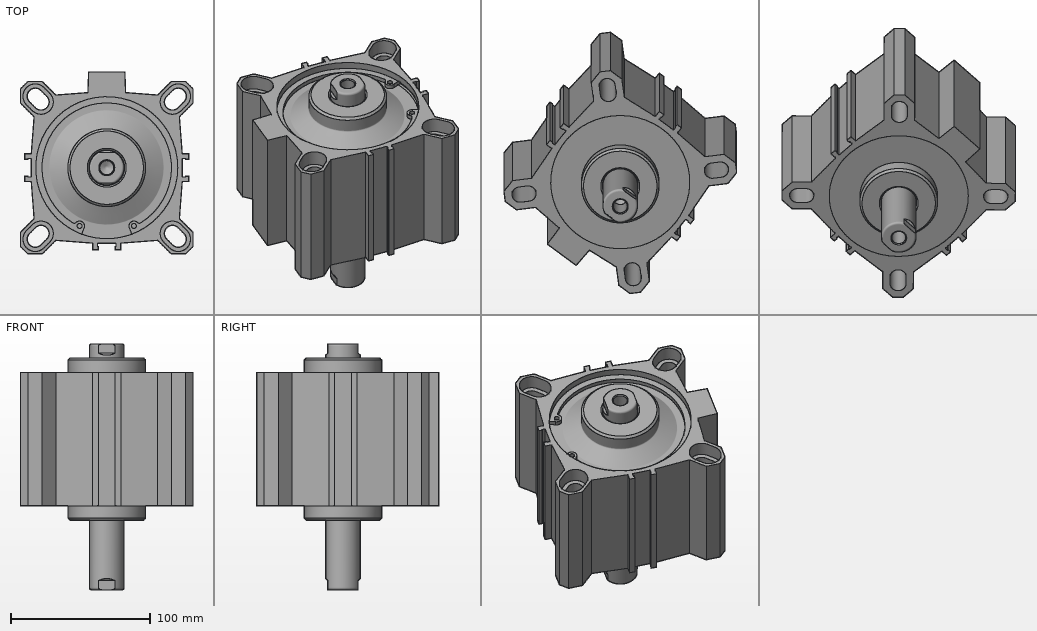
import cadquery as cq
import math

HOUSING_HEIGHT = 96.0
HOUSING_WIDTH = 124.0
HOUSING_LENGTH = 131.0
ROD_TOP = 116.5
ROD_LENGTH = 177.0
ROD_BOTTOM = ROD_TOP - ROD_LENGTH

EAR_REACH = HOUSING_WIDTH / 2
EAR_FLAT_START = 46.4
EAR_FLAT_END = 56.6
EAR_NECK = 36.6
NECK_WALL = EAR_REACH - (EAR_FLAT_START - EAR_NECK)
WALL_REACH = 54.3

ROOT_OVERLAP = 1.8

RAIL_REACH = 59.1
RAIL_OUTER = 10.1
RAIL_GROOVE = 6.5
RAIL_LIP = 6.0
RAIL_LIP_THICKNESS = 2.5
RAIL_WALL_ANGLES = [0, 180, 270]

BLOCK_REACH = HOUSING_LENGTH - EAR_REACH
BLOCK_ROOT_HALF_WIDTH = 13.6
BLOCK_TIP_HALF_WIDTH = 13.1

SLOT_CENTRE = 69.7
SLOT_TRAVEL = 5.8
SLOT_WIDTH = 11.5
COUNTERBORE_WIDTH = 17.7
COUNTERBORE_DEPTH = 11.3

BORE_DIAMETER = 100.0
SEAT_DIAMETER = 102.1
GROOVE_DIAMETER = 106.2
RING_DEPTH = 5.3
RING_THICKNESS = 3.2
COVER_FACE = HOUSING_HEIGHT - RING_DEPTH - RING_THICKNESS
COVER_PLATE_THICKNESS = 14.2
SEAT_FLOOR = COVER_FACE - COVER_PLATE_THICKNESS

RING_INNER_DIAMETER = 93.1
LUG_ANGLE = 25.0
LUG_CENTRE_RADIUS = 46.2
LUG_RADIUS = 3.5
LUG_HOLE_DIAMETER = 3.5
LUG_FILLET = 1.8

BOSS_DIAMETER = 56.0
BOSS_PROTRUSION = 10.5
BOSS_CHAMFER = 1.6
DOME_DIAMETER = 82.1
DOME_TOP = HOUSING_HEIGHT - 1.5
DOME_FILLET = 0.7
WIPER_DIAMETER = 25.7
WIPER_MOUTH_DIAMETER = 28.0
WIPER_THROAT_DIAMETER = 26.9
WIPER_DEPTH = 2.7

ROD_DIAMETER = 25.0
ROD_END_FILLET = 1.6
FLAT_HALF_WIDTH = 11.0
FLAT_LENGTH = 6.7
END_HOLE_DIAMETER = 10.1
END_HOLE_MOUTH_DIAMETER = 11.5
END_HOLE_DEPTH = 21.2
DRILL_POINT_ANGLE = 118.0


def cylinder(diameter, bottom, top):
    """Upright cylinder on the rod axis."""
    return cq.Workplane("XY").workplane(offset=bottom).circle(diameter / 2).extrude(top - bottom)


def revolved(points):
    """Solid of revolution about the rod axis from (radius, height) points."""
    return cq.Workplane("XZ").polyline(points).close().revolve(360, (0, 0), (0, 1))


def prism(points):
    """Upright prism over the full housing height."""
    return cq.Workplane("XY").polyline(points).close().extrude(HOUSING_HEIGHT)


def housing_profile():
    """Outline of the walls and ears: one quarter, repeated by quarter turns."""
    quarter = [
        (WALL_REACH, -RAIL_OUTER),
        (WALL_REACH, RAIL_OUTER),
        (NECK_WALL, EAR_NECK),
        (EAR_REACH, EAR_FLAT_START),
        (EAR_REACH, EAR_FLAT_END),
        (EAR_FLAT_END, EAR_REACH),
        (EAR_FLAT_START, EAR_REACH),
        (EAR_NECK, NECK_WALL),
    ]
    outline = list(quarter)
    for _ in range(3):
        quarter = [(-y, x) for x, y in quarter]
        outline += quarter
    return outline


def rail_pair():
    """Two facing rails on the +X wall, each with a lip at its tip."""
    rail_root = WALL_REACH - ROOT_OVERLAP
    lip_start = RAIL_REACH - RAIL_LIP_THICKNESS
    rail = prism([
        (rail_root, RAIL_OUTER),
        (RAIL_REACH, RAIL_OUTER),
        (RAIL_REACH, RAIL_LIP),
        (lip_start, RAIL_LIP),
        (lip_start, RAIL_GROOVE),
        (rail_root, RAIL_GROOVE),
    ])
    return rail.union(rail.mirror("XZ"))


def ear_slot(width, bottom):
    """Slots in the four ears, lying along the diagonals, open at the top face."""
    return (
        cq.Workplane("XY")
        .workplane(offset=bottom)
        .polarArray(SLOT_CENTRE, 45, 360, 4)
        .slot2D(SLOT_TRAVEL + width, width)
        .extrude(HOUSING_HEIGHT - bottom)
    )


def make_housing():
    body = prism(housing_profile())
    for angle in RAIL_WALL_ANGLES:
        body = body.union(rail_pair().rotate((0, 0, 0), (0, 0, 1), angle))
    body = body.union(prism([
        (-BLOCK_ROOT_HALF_WIDTH, WALL_REACH - ROOT_OVERLAP),
        (BLOCK_ROOT_HALF_WIDTH, WALL_REACH - ROOT_OVERLAP),
        (BLOCK_ROOT_HALF_WIDTH, WALL_REACH),
        (BLOCK_TIP_HALF_WIDTH, BLOCK_REACH),
        (-BLOCK_TIP_HALF_WIDTH, BLOCK_REACH),
        (-BLOCK_ROOT_HALF_WIDTH, WALL_REACH),
    ]))
    body = body.cut(ear_slot(SLOT_WIDTH, 0))
    body = body.cut(ear_slot(COUNTERBORE_WIDTH, HOUSING_HEIGHT - COUNTERBORE_DEPTH))
    body = body.cut(cylinder(BORE_DIAMETER, 0, HOUSING_HEIGHT))
    body = body.cut(cylinder(SEAT_DIAMETER, SEAT_FLOOR, HOUSING_HEIGHT))
    return body.cut(cylinder(GROOVE_DIAMETER, COVER_FACE, HOUSING_HEIGHT - RING_DEPTH))


def rod_passage(face, outward):
    """Close-fitting rod hole with a wider, countersunk recess at the boss face."""
    chamfer = (WIPER_MOUTH_DIAMETER - WIPER_THROAT_DIAMETER) / 2
    return revolved([
        (0, face),
        (WIPER_MOUTH_DIAMETER / 2, face),
        (WIPER_THROAT_DIAMETER / 2, face - outward * chamfer),
        (WIPER_DIAMETER / 2, face - outward * 2 * chamfer),
        (WIPER_DIAMETER / 2, face - outward * WIPER_DEPTH),
        (ROD_DIAMETER / 2, face - outward * WIPER_DEPTH),
        (ROD_DIAMETER / 2, face - outward * HOUSING_HEIGHT / 2),
        (0, face - outward * HOUSING_HEIGHT / 2),
    ])


def make_top_cover():
    """Dished cover with a conical rise up to its boss."""
    boss_top = HOUSING_HEIGHT + BOSS_PROTRUSION
    boss_radius = BOSS_DIAMETER / 2
    cover = revolved([
        (0, SEAT_FLOOR),
        (SEAT_DIAMETER / 2, SEAT_FLOOR),
        (SEAT_DIAMETER / 2, COVER_FACE),
        (DOME_DIAMETER / 2, COVER_FACE),
        (boss_radius, DOME_TOP),
        (boss_radius, boss_top - BOSS_CHAMFER),
        (boss_radius - BOSS_CHAMFER, boss_top),
        (0, boss_top),
    ])
    reach = (DOME_DIAMETER + SEAT_DIAMETER) / 4
    dome_rims = cq.selectors.BoxSelector(
        (-reach, -reach, COVER_FACE - DOME_FILLET),
        (reach, reach, DOME_TOP + DOME_FILLET),
        boundingbox=True,
    )
    cover = cover.edges(dome_rims).edges("%CIRCLE").fillet(DOME_FILLET)
    return cover.cut(rod_passage(boss_top, 1))


def make_bottom_cover():
    """Flat cover, flush with the bottom of the housing, with the same boss."""
    boss_radius = BOSS_DIAMETER / 2
    cover = revolved([
        (0, COVER_PLATE_THICKNESS),
        (BORE_DIAMETER / 2, COVER_PLATE_THICKNESS),
        (BORE_DIAMETER / 2, 0),
        (boss_radius, 0),
        (boss_radius, BOSS_CHAMFER - BOSS_PROTRUSION),
        (boss_radius - BOSS_CHAMFER, -BOSS_PROTRUSION),
        (0, -BOSS_PROTRUSION),
    ])
    return cover.cut(rod_passage(-BOSS_PROTRUSION, -1))


def make_retaining_ring():
    """Open ring with an eyelet at each side of the gap, which faces -Y."""
    lug_angle = math.radians(LUG_ANGLE)
    lug_x = LUG_CENTRE_RADIUS * math.sin(lug_angle)
    lug_y = -LUG_CENTRE_RADIUS * math.cos(lug_angle)
    gap_angle = lug_angle - math.asin(LUG_RADIUS / LUG_CENTRE_RADIUS)
    gap_x = GROOVE_DIAMETER * math.tan(gap_angle)
    inner_radius = RING_INNER_DIAMETER / 2
    lugs = [(lug_x, lug_y), (-lug_x, lug_y)]

    base = cq.Workplane("XY").workplane(offset=COVER_FACE)
    band = base.circle(GROOVE_DIAMETER / 2).circle(inner_radius).extrude(RING_THICKNESS)
    gap = (
        base.polyline([(0, 0), (gap_x, -GROOVE_DIAMETER), (-gap_x, -GROOVE_DIAMETER)])
        .close()
        .extrude(RING_THICKNESS)
    )
    eyelets = base.pushPoints(lugs).circle(LUG_RADIUS).extrude(RING_THICKNESS)
    holes = base.pushPoints(lugs).circle(LUG_HOLE_DIAMETER / 2).extrude(RING_THICKNESS)
    ring = band.cut(gap).union(eyelets)

    spread = math.acos(
        (inner_radius**2 + LUG_CENTRE_RADIUS**2 - LUG_RADIUS**2) / (2 * inner_radius * LUG_CENTRE_RADIUS)
    )
    corner_x = inner_radius * math.sin(lug_angle + spread)
    corner_y = -inner_radius * math.cos(lug_angle + spread)
    corner_z = COVER_FACE + RING_THICKNESS / 2
    for x in [corner_x, -corner_x]:
        corner = cq.selectors.NearestToPointSelector((x, corner_y, corner_z))
        ring = ring.edges("|Z").edges(corner).fillet(LUG_FILLET)
    return ring.cut(holes)


def flat_cutter(end, outward):
    """Wrench flat on the +Y side of a rod end, running out at 45 degrees."""
    radius = ROD_DIAMETER / 2
    depth = radius - FLAT_HALF_WIDTH
    flat_start = end - outward * FLAT_LENGTH
    return (
        cq.Workplane("YZ")
        .polyline([
            (FLAT_HALF_WIDTH, end),
            (FLAT_HALF_WIDTH, flat_start),
            (radius, flat_start - outward * depth),
            (radius, end),
        ])
        .close()
        .extrude(radius, both=True)
    )


def end_hole(end, outward):
    """Blind drilled hole with a chamfered mouth and a drill point."""
    radius = END_HOLE_DIAMETER / 2
    mouth_radius = END_HOLE_MOUTH_DIAMETER / 2
    floor = end - outward * END_HOLE_DEPTH
    point_length = radius / math.tan(math.radians(DRILL_POINT_ANGLE / 2))
    return revolved([
        (0, end),
        (mouth_radius, end),
        (radius, end - outward * (mouth_radius - radius)),
        (radius, floor),
        (0, floor - outward * point_length),
    ])


def make_rod():
    """Through rod with the same wrench flats and end hole at both ends."""
    rod = cylinder(ROD_DIAMETER, ROD_BOTTOM, ROD_TOP).edges("%CIRCLE").fillet(ROD_END_FILLET)
    for end, outward in [(ROD_TOP, 1), (ROD_BOTTOM, -1)]:
        flat = flat_cutter(end, outward)
        rod = rod.cut(flat).cut(flat.mirror("XZ")).cut(end_hole(end, outward))
    return rod


housing = make_housing()
top_cover = make_top_cover()
bottom_cover = make_bottom_cover()
retaining_ring = make_retaining_ring()
rod = make_rod()

result = cq.Compound.makeCompound([
    housing.val(),
    top_cover.val(),
    bottom_cover.val(),
    retaining_ring.val(),
    rod.val(),
])